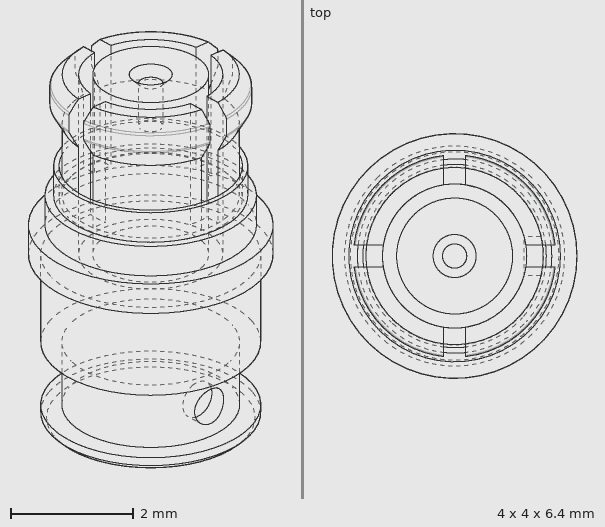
import cadquery as cq
import math

height = 6.4
cap_edge_z = 0.095
cap_top_z = 0.24
body_base_z = 1.41
flange_base_z = 3.045
flange_top_z = 3.6
lower_step_z = 4.15
collar_top_z = 4.7
head_base_z = 5.505

flange_radius = 4.0 / 2
body_radius = 1.8
waist_radius = 1.45
lower_step_radius = 1.73
collar_radius = 1.59
collar_bore_radius = 1.5
finger_radius = 1.445
head_radius = 1.65
bore_radius = 1.18

head_flare_angle = 30.0
head_edge_round = 0.065
slot_width = 0.36
slot_floor_z = lower_step_z
bore_floor_z = flange_base_z
port_radius = 0.32
port_z = 0.8
port_depth = 0.32

core_radius = 0.95
core_top_z = height
pin_hole_radius = 0.2
pin_hole_depth = 0.96
pin_hole_tip_angle = 118.0
funnel_radius = 0.35
funnel_depth = 0.16


def shell_blank():
    """Turned outside of the shell with its bore and the narrow groove between collar and fingers."""
    head_lip = head_radius - finger_radius
    flare_height = head_lip / math.tan(math.radians(head_flare_angle))
    groove_chamfer = collar_bore_radius - finger_radius
    outline = [
        (0, 0),
        (body_radius - cap_edge_z, 0),
        (body_radius, cap_edge_z),
        (body_radius, cap_top_z),
        (waist_radius, cap_top_z),
        (waist_radius, body_base_z),
        (body_radius, body_base_z),
        (body_radius, flange_base_z),
        (flange_radius, flange_base_z),
        (flange_radius, flange_top_z),
        (lower_step_radius, flange_top_z),
        (lower_step_radius, lower_step_z),
        (collar_radius, lower_step_z),
        (collar_radius, collar_top_z),
        (collar_bore_radius, collar_top_z),
        (collar_bore_radius, slot_floor_z - groove_chamfer),
        (finger_radius, slot_floor_z),
        (finger_radius, head_base_z),
        (head_radius, head_base_z + flare_height),
        (head_radius, height - head_lip),
        (finger_radius, height),
        (bore_radius, height),
        (bore_radius, bore_floor_z),
        (0, bore_floor_z),
    ]
    blank = cq.Workplane("XZ").polyline(outline).close().revolve(360, (0, 0, 0), (0, 1, 0))
    head_edges = cq.selectors.BoxSelector(
        (-flange_radius, -flange_radius, head_base_z + flare_height / 2),
        (flange_radius, flange_radius, height - head_lip / 2),
    )
    head_rims = blank.edges(head_edges).edges("%CIRCLE")
    return head_rims.fillet(head_edge_round)


def crossed_bars(length, base_z, top_z):
    """Two bars along X and Y, joined into a cross."""
    base = cq.Workplane("XY").workplane(offset=base_z)
    bar_x = base.rect(length, slot_width).extrude(top_z - base_z)
    bar_y = base.rect(slot_width, length).extrude(top_z - base_z)
    return bar_x.union(bar_y)


def finger_slots():
    """Crossed slots that split the sleeve into four fingers and stay clear of the collar."""
    inside_collar = crossed_bars(2 * finger_radius, slot_floor_z, collar_top_z)
    above_collar = crossed_bars(2 * head_radius, collar_top_z, height)
    return inside_collar.union(above_collar)


def side_port():
    """Blind round port on the +X side of the waist."""
    port_floor_x = waist_radius - port_depth
    return cq.Workplane("YZ", origin=(port_floor_x, 0, port_z)).circle(port_radius).extrude(2 * port_depth)


def make_shell():
    return shell_blank().cut(finger_slots()).cut(side_port())


def make_core():
    """Round core standing on the bore floor, with a funnelled blind hole in its top."""
    hole_end_z = core_top_z - pin_hole_depth
    tip_height = pin_hole_radius / math.tan(math.radians(pin_hole_tip_angle / 2))
    outline = [
        (0, bore_floor_z),
        (core_radius, bore_floor_z),
        (core_radius, core_top_z),
        (funnel_radius, core_top_z),
        (pin_hole_radius, core_top_z - funnel_depth),
        (pin_hole_radius, hole_end_z),
        (0, hole_end_z - tip_height),
    ]
    return cq.Workplane("XZ").polyline(outline).close().revolve(360, (0, 0, 0), (0, 1, 0))


shell = make_shell().solids()
core = make_core()
result = cq.Compound.makeCompound([shell.val(), core.val()])